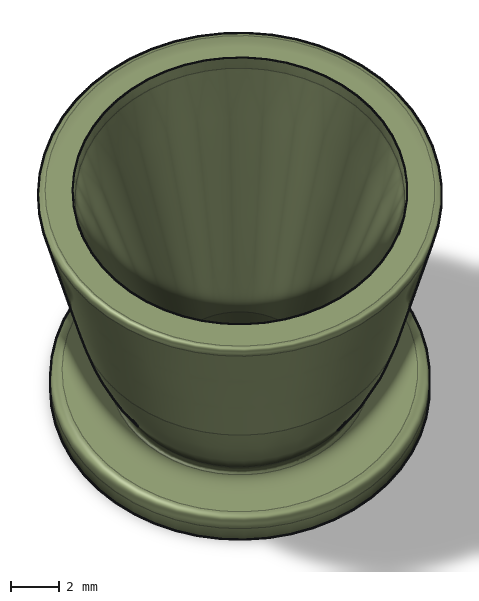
import cadquery as cq

height = 13.5
rim_radius = 8.34
rim_round = 0.3

flange_radius = 7.84
flange_height = 1.25
flange_round = 0.5

cone_bottom_radius = 6.79
cone_bottom_z = 5.75
neck_radius = 5.09
neck_fillet = 0.2

mouth_radius = 6.9
mouth_depth = 0.6
funnel_radius = 6.8
hole_radius = 3.2
hole_depth = 1.0


def make_flange():
    disc = cq.Workplane("XY").circle(flange_radius).extrude(flange_height)
    return disc.faces(">Z").edges().fillet(flange_round)


def make_cup():
    rim_side_z = height - rim_round
    profile = (
        cq.Workplane("XZ")
        .moveTo(0, height)
        .lineTo(rim_radius - rim_round, height)
        .radiusArc((rim_radius, rim_side_z), rim_round)
        .lineTo(cone_bottom_radius, cone_bottom_z)
        .tangentArcPoint((neck_radius, flange_height), relative=False)
        .lineTo(0, flange_height)
        .close()
    )
    return profile.revolve(360, (0, 0, 0), (0, 1, 0))


def make_bore():
    profile = (
        cq.Workplane("XZ")
        .lineTo(hole_radius, 0)
        .lineTo(hole_radius, hole_depth)
        .lineTo(funnel_radius, height - mouth_depth)
        .lineTo(mouth_radius, height)
        .lineTo(0, height)
        .close()
    )
    return profile.revolve(360, (0, 0, 0), (0, 1, 0))


body = make_flange().union(make_cup())
flange_top = body.faces("|Z").faces(cq.selectors.CenterNthSelector(cq.Vector(0, 0, 1), 1))
neck_corner = flange_top.edges(cq.selectors.RadiusNthSelector(0))
body = neck_corner.fillet(neck_fillet)
result = body.cut(make_bore())